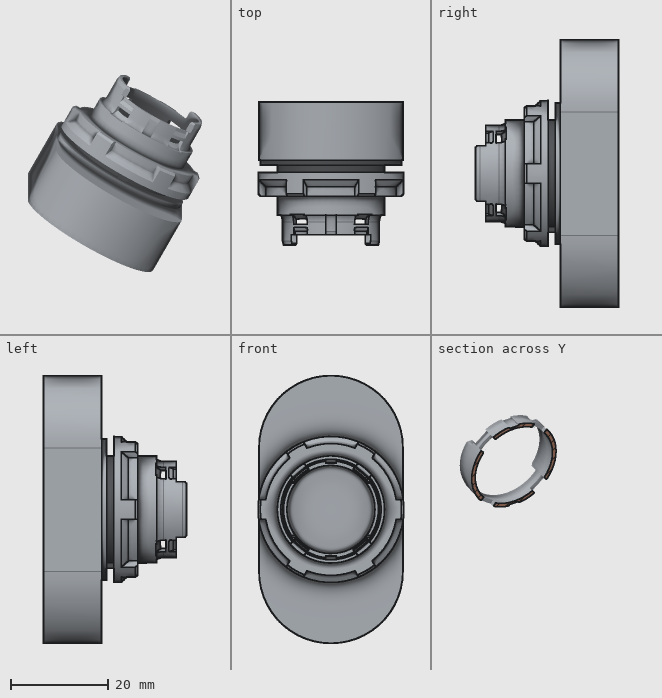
import cadquery as cq


head_height = 55.0
head_width = 29.6
head_depth = 12.0

gasket_diameter = 29.0
gasket_end = 1.0
sleeve_diameter = 22.0
sleeve_end = 11.3
snout_diameter = 19.9
snout_root_diameter = 20.6
snout_flare_end = 12.6
snout_rim = 15.35
tab_end = 17.45
bore_diameter = 18.1
bore_floor = sleeve_end

key_width = 2.1
key_reach = 12.1

nut_diameter = 30.0
nut_start = 2.5
nut_pocket_start = 4.0
nut_end = 7.4
nut_pocket_diameter = 27.05
tooth_count = 6
tooth_width = 4.05
tooth_tip_chamfer = 0.5

tab_half_height = 5.7
tab_bevel_length = 0.9
tab_bevel_depth = 0.2
tab_corner_chamfer = 0.4
groove_width = 2.1
groove_start = 11.1
groove_floor_radius = 9.6
groove_bevel_length = 0.75
groove_bevel_depth = 0.15
window_angles = [50, 130, 230, 310]
window_width = 3.65
window_step = 11.05
window_end = 13.15
window_ramp_outer_radius = 10.0
window_ramp_inner_radius = 8.9
recess_start = 13.8
recess_ramp_end = 14.65
recess_ramp_outer_radius = 9.85
recess_ramp_inner_radius = 9.4
recess_floor_radius = 9.25

clearance = 1.65


def disc(diameter, start, end):
    """Cylinder around the Y axis between two distances in front of the head."""
    return cq.Workplane("XZ").workplane(offset=start).circle(diameter / 2).extrude(end - start)


def turned(profile):
    """Solid of revolution about Y from (radius, distance in front of the head) points."""
    points = [(radius, -distance) for radius, distance in profile]
    return cq.Workplane("XY").polyline(points).close().revolve(360, (0, 0, 0), (0, 1, 0))


def radial_prism(profile, width, angle):
    """Prism of the given width around a (radius, distance) profile, turned to an angle from +X."""
    points = [(radius, -distance) for radius, distance in profile]
    prism = cq.Workplane("XY").polyline(points).close().extrude(width / 2, both=True)
    return prism.rotate((0, 0, 0), (0, 1, 0), -angle)


def make_head():
    plate = cq.Workplane("XZ").slot2D(head_height, head_width, 90)
    return plate.extrude(-head_depth)


def make_key():
    length = nut_start - gasket_end
    key = cq.Workplane("XY").box(key_width, length, key_reach, centered=(True, False, False))
    return key.translate((0, -nut_start, -key_reach))


def make_nut():
    outer = nut_diameter / 2
    inner = nut_pocket_diameter / 2
    core = turned([
        (0, nut_start),
        (outer, nut_start),
        (outer, nut_pocket_start),
        (inner, nut_pocket_start + outer - inner),
        (inner, nut_end),
        (0, nut_end),
    ])
    tooth_envelope = turned([
        (0, nut_start),
        (outer, nut_start),
        (outer, nut_end - tooth_tip_chamfer),
        (outer - tooth_tip_chamfer, nut_end),
        (0, nut_end),
    ])
    bar = [(0, nut_start), (nut_diameter, nut_start), (nut_diameter, nut_end), (0, nut_end)]
    for index in range(tooth_count):
        tooth = radial_prism(bar, tooth_width, index * 360 / tooth_count)
        core = core.union(tooth.intersect(tooth_envelope))
    return core


def make_snout():
    radius = snout_diameter / 2
    root_radius = snout_root_diameter / 2
    flare_length = snout_flare_end - sleeve_end
    flare_rise = root_radius - radius
    flare_radius = (flare_length ** 2 + flare_rise ** 2) / (2 * flare_rise)
    outline = (
        cq.Workplane("XY")
        .moveTo(0, -sleeve_end)
        .lineTo(root_radius, -sleeve_end)
        .radiusArc((radius, -snout_flare_end), -flare_radius)
        .lineTo(radius, -(tab_end - tab_bevel_length))
        .lineTo(radius - tab_bevel_depth, -tab_end)
        .lineTo(0, -tab_end)
        .close()
    )
    snout = outline.revolve(360, (0, 0, 0), (0, 1, 0))
    relief = [
        (snout_diameter, snout_rim),
        (tab_half_height, snout_rim),
        (tab_half_height, tab_end - tab_corner_chamfer),
        (tab_half_height - tab_corner_chamfer, tab_end),
        (snout_diameter, tab_end),
    ]
    for angle in (90, 270):
        snout = snout.cut(radial_prism(relief, 2 * snout_diameter, angle))
    return snout


def cut_grooves(body):
    """Keyways along the top and bottom of the snout, with the floor bevelled at the rim."""
    top = sleeve_diameter / 2
    root_radius = snout_root_diameter / 2
    profile = [
        (top, sleeve_end),
        (root_radius, sleeve_end),
        (root_radius, groove_start),
        (groove_floor_radius, groove_start),
        (groove_floor_radius, snout_rim - groove_bevel_length),
        (groove_floor_radius - groove_bevel_depth, snout_rim),
        (top, snout_rim),
    ]
    for angle in (90, 270):
        body = body.cut(radial_prism(profile, groove_width, angle))
    return body


def cut_windows(body):
    """Ramped windows through the snout wall, each followed by a shallow recess up to the rim."""
    far = sleeve_diameter / 2 + clearance
    near = bore_diameter / 2 - clearance
    ramp_end = window_step + window_ramp_outer_radius - window_ramp_inner_radius
    window = [
        (far, window_step),
        (window_ramp_outer_radius, window_step),
        (window_ramp_inner_radius, ramp_end),
        (near, ramp_end),
        (near, window_end),
        (far, window_end),
    ]
    recess = [
        (far, recess_start),
        (recess_ramp_outer_radius, recess_start),
        (recess_ramp_inner_radius, recess_ramp_end),
        (recess_floor_radius, recess_ramp_end),
        (recess_floor_radius, snout_rim),
        (far, snout_rim),
    ]
    for angle in window_angles:
        body = body.cut(radial_prism(window, window_width, angle))
        body = body.cut(radial_prism(recess, window_width, angle))
    return body


body = make_head()
body = body.union(disc(gasket_diameter, 0, gasket_end))
body = body.union(disc(sleeve_diameter, 0, sleeve_end))
body = body.union(make_key())
body = body.union(make_nut())
body = body.union(make_snout())
body = body.cut(disc(bore_diameter, bore_floor, tab_end))
body = cut_grooves(body)
body = cut_windows(body)

result = body